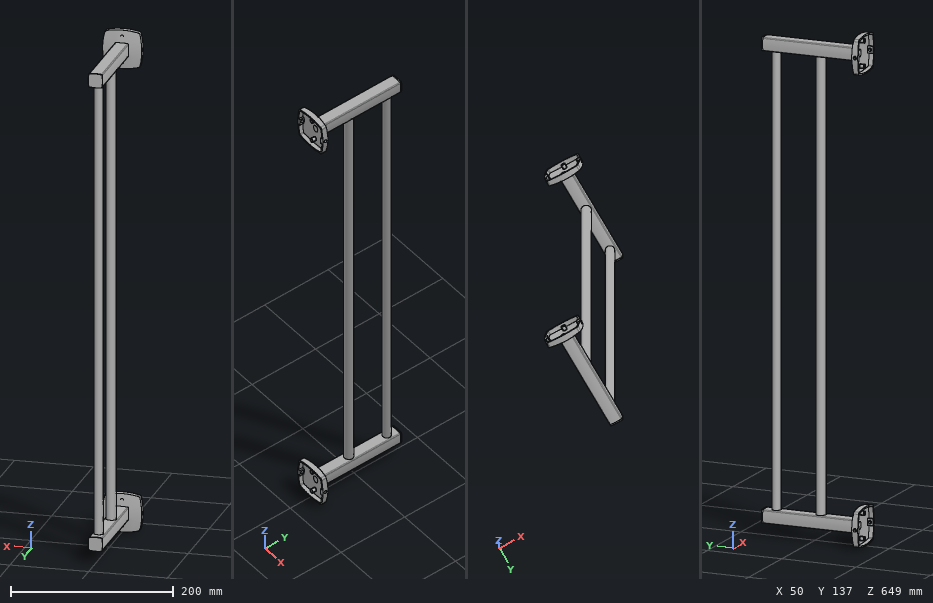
import cadquery as cq
import math

TOTAL_HEIGHT = 649.0
TOTAL_DEPTH = 137.0

FLANGE_SIZE = 50.0
FLANGE_BOW = 2.9
FLANGE_CORNER_RADIUS = 3.0
FLANGE_DEPTH = 10.5
DOME_DROP = 2.3
RIM_WALL = 2.0
FLOOR_THICKNESS = 2.0
POST_DIAMETER = 6.0
POST_BORE_DIAMETER = 4.2
POST_OFFSET = 16.0
POST_START_Y = 2.0
SLOT_WIDTH = 8.0
SLOT_LENGTH = 10.0
SLOT_DEPTH = 6.5
BOSS_WIDTH = 9.0
BOSS_REACH = 4.5
SET_SCREW_DIAMETER = 4.2
SET_SCREW_HEIGHT = 4.0

ARM_SIZE = 18.0
ARM_BOW = 0.5
ARM_CORNER_RADIUS = 1.0
CAP_THICKNESS = 2.0

INNER_ROD_Y = 60.5
INNER_ROD_DIAMETER = 13.0
OUTER_ROD_Y = 120.0
OUTER_ROD_DIAMETER = 12.0
SOCKET_DEPTH = 3.0

ARM_Z = (TOTAL_HEIGHT - FLANGE_SIZE) / 2
ARM_TIP_Y = TOTAL_DEPTH - CAP_THICKNESS
ROD_LENGTH = 2 * ARM_Z - ARM_SIZE + 2 * SOCKET_DEPTH
HALF_FLANGE = FLANGE_SIZE / 2
DOME_RADIUS = (HALF_FLANGE**2 + DOME_DROP**2) / (2 * DOME_DROP)
DOME_CENTRE_Y = FLANGE_DEPTH - DOME_RADIUS
FLOOR_Y = FLANGE_DEPTH - FLOOR_THICKNESS
POST_FLOOR_Y = DOME_CENTRE_Y + math.sqrt((DOME_RADIUS - FLOOR_THICKNESS) ** 2 - POST_OFFSET**2)
POST_END_Y = POST_FLOOR_Y + FLOOR_THICKNESS / 2


def bowed_bar(size, bow, corner_radius, start_y, end_y, z):
    """Bar along Y with a square section whose four sides bulge outwards."""
    side = size / 2
    corner = side - bow
    return (
        cq.Workplane("XZ", origin=(0, start_y, z))
        .moveTo(-corner, -corner)
        .threePointArc((0, -side), (corner, -corner))
        .threePointArc((side, 0), (corner, corner))
        .threePointArc((0, side), (-corner, corner))
        .threePointArc((-side, 0), (-corner, -corner))
        .close()
        .extrude(start_y - end_y)
        .edges("|Y")
        .fillet(corner_radius)
    )


def rod_along_y(diameter, start_y, end_y, z):
    """Cylinder along Y on the middle plane of the part."""
    return cq.Workplane("XZ", origin=(0, start_y, z)).circle(diameter / 2).extrude(start_y - end_y)


def make_slot(z):
    """Upright round-ended cutter shared by the floor of a flange and the foot of its arm."""
    return (
        cq.Workplane("XZ", origin=(0, FLOOR_Y, z))
        .slot2D(SLOT_LENGTH, SLOT_WIDTH, 90)
        .extrude(-SLOT_DEPTH)
    )


def dome(radius, z):
    """Ball that shapes the back of a flange or the floor of its cavity."""
    return cq.Workplane("XY", origin=(0, DOME_CENTRE_Y, z)).sphere(radius)


def make_flange(z):
    """Hollow dish, open at the wall face, with bored posts on its floor, a slot and two set-screw bosses."""
    shell = bowed_bar(
        FLANGE_SIZE, FLANGE_BOW, FLANGE_CORNER_RADIUS, 0, FLANGE_DEPTH, z
    ).intersect(dome(DOME_RADIUS, z))

    cavity = bowed_bar(
        FLANGE_SIZE - 2 * RIM_WALL,
        FLANGE_BOW,
        FLANGE_CORNER_RADIUS - RIM_WALL,
        0,
        FLANGE_DEPTH,
        z,
    ).intersect(dome(DOME_RADIUS - FLOOR_THICKNESS, z))
    for side in (-1, 1):
        boss = cq.Workplane("XY").box(2 * BOSS_REACH, 2 * FLANGE_DEPTH, BOSS_WIDTH)
        cavity = cavity.cut(boss.translate((side * HALF_FLANGE, 0, z)))
    flange = shell.cut(cavity)

    for offset in (-POST_OFFSET, POST_OFFSET):
        post = rod_along_y(POST_DIAMETER, POST_START_Y, POST_END_Y, z + offset)
        bore = rod_along_y(POST_BORE_DIAMETER, POST_START_Y, POST_FLOOR_Y, z + offset)
        flange = flange.union(post).cut(bore)
    flange = flange.cut(make_slot(z))

    for side in (-1, 1):
        set_screw_hole = (
            cq.Workplane("YZ", origin=(side * HALF_FLANGE, SET_SCREW_HEIGHT, z))
            .circle(SET_SCREW_DIAMETER / 2)
            .extrude(-side * BOSS_REACH)
        )
        flange = flange.cut(set_screw_hole)
    return flange


def make_arm(z, rods):
    """Bar from the domed back of its flange to its cap, with a slot in its foot and rod sockets."""
    bar = bowed_bar(ARM_SIZE, ARM_BOW, ARM_CORNER_RADIUS, FLOOR_Y, ARM_TIP_Y, z)
    arm = bar.cut(dome(DOME_RADIUS, z)).cut(make_slot(z))
    for rod in rods:
        arm = arm.cut(rod)
    return arm


def make_cap(z):
    """Thin plate of the arm's own section that closes the arm tip."""
    return bowed_bar(ARM_SIZE, ARM_BOW, ARM_CORNER_RADIUS, ARM_TIP_Y, TOTAL_DEPTH, z)


def make_rod(diameter, y):
    """Round rod along Z with both ends in the arm sockets."""
    return cq.Workplane("XY", origin=(0, y, -ROD_LENGTH / 2)).circle(diameter / 2).extrude(ROD_LENGTH)


rods = [make_rod(INNER_ROD_DIAMETER, INNER_ROD_Y), make_rod(OUTER_ROD_DIAMETER, OUTER_ROD_Y)]
flanges = []
arms = []
caps = []
for arm_z in (-ARM_Z, ARM_Z):
    flanges.append(make_flange(arm_z))
    arms.append(make_arm(arm_z, rods))
    caps.append(make_cap(arm_z))

result = cq.Compound.makeCompound([body.val() for body in flanges + arms + caps + rods])